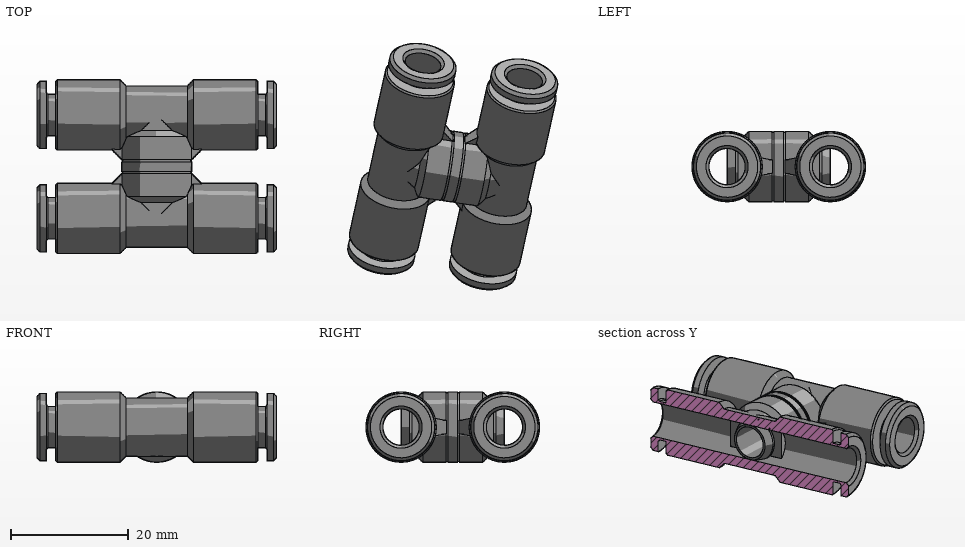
import cadquery as cq

overall_length = 40.8
overall_width = 29.6
body_diameter = 12.0
half_length = overall_length / 2
body_radius = body_diameter / 2
axis_offset = (overall_width - body_diameter) / 2

collar_radius = 11.5 / 2
collar_back = 18.75
collar_chamfer = 0.55
neck_radius = 7.1 / 2
neck_flare_radius = 7.6 / 2
neck_flare_length = 0.25

body_end = 17.2
body_chamfer = 0.3
shoulder_start = 6.25
waist_half_length = 5.22
waist_radius = body_radius - (shoulder_start - waist_half_length)

bore_radius = 6.15 / 2
bore_mouth_radius = 3.6
bore_mouth_depth = bore_mouth_radius - bore_radius

ring_half_width = 0.8
groove_outer = 1.2
groove_radius = 5.88
hub_end = 5.1
hub_chamfer = body_radius - waist_radius

pin_radius = 7.6 / 2
pin_tip_radius = 3.15
pin_taper_length = 1.43
seat_depth = 1.88
passage_diameter = 5.5

gusset_angle = 22.0
gusset_start = groove_outer - (body_radius - groove_radius)


def revolve_half_profile_about_x(points):
    """Revolve a profile of (x, radius) points, given for x >= 0, and mirror it to x < 0."""
    half = cq.Workplane("XY").polyline(points).close().revolve(360, (0, 0, 0), (1, 0, 0))
    return half.union(half.mirror("YZ"))


def tube_blank():
    return revolve_half_profile_about_x([
        (0, 0),
        (0, waist_radius),
        (waist_half_length, waist_radius),
        (shoulder_start, body_radius),
        (body_end - body_chamfer, body_radius),
        (body_end, body_radius - body_chamfer),
        (body_end, neck_radius),
        (collar_back - neck_flare_length, neck_radius),
        (collar_back, neck_flare_radius),
        (collar_back, collar_radius),
        (half_length - collar_chamfer, collar_radius),
        (half_length, collar_radius - collar_chamfer),
        (half_length, 0),
    ])


def bore_cutter():
    return revolve_half_profile_about_x([
        (0, 0),
        (0, bore_radius),
        (half_length - bore_mouth_depth, bore_radius),
        (half_length, bore_mouth_radius),
        (half_length, 0),
    ])


def hub_half():
    """Hub on the +Y side, from the groove beside the middle ring to the tube axis."""
    profile = [
        (0, ring_half_width),
        (groove_radius, ring_half_width),
        (groove_radius, groove_outer),
        (body_radius, groove_outer),
        (body_radius, hub_end),
        (waist_radius, hub_end + hub_chamfer),
        (waist_radius, axis_offset),
        (0, axis_offset),
    ]
    return cq.Workplane("XY").polyline(profile).close().revolve(360, (0, 0, 0), (0, 1, 0))


def gussets():
    """Pair of ribs on the +Y side, on both sides of the hub."""
    rise = axis_offset - gusset_start
    profile = [
        (0, gusset_start),
        (groove_radius, gusset_start),
        (groove_radius + rise, axis_offset),
        (0, axis_offset),
    ]
    sector = cq.Workplane("XY").polyline(profile).close().revolve(gusset_angle, (0, 0, 0), (0, 1, 0))
    rib = sector.rotate((0, 0, 0), (0, 1, 0), -gusset_angle / 2)
    return rib.union(rib.mirror("YZ"))


def pin_and_seat():
    """Tapered pin end and the flat seat it stands on, both kept inside the bore."""
    taper_start = axis_offset - pin_taper_length
    seat_y = axis_offset - seat_depth
    seat_bottom = axis_offset - body_radius
    profile = [
        (0, seat_bottom),
        (pin_radius, seat_bottom),
        (pin_radius, taper_start),
        (pin_tip_radius, axis_offset),
        (0, axis_offset),
    ]
    pin = cq.Workplane("XY").polyline(profile).close().revolve(360, (0, 0, 0), (0, 1, 0))
    seat = cq.Workplane("XY").box(
        2 * waist_half_length, seat_y - seat_bottom, body_diameter, centered=(True, False, True)
    ).translate((0, seat_bottom, 0))
    return pin.union(seat)


def cylinder_along_y(radius, half_span):
    return cq.Workplane("XZ", origin=(0, half_span, 0)).circle(radius).extrude(2 * half_span)


def middle_ring():
    return cylinder_along_y(body_radius, ring_half_width)


def cross_passage():
    """Flow passage along the hub, opening into both bores at the tube axes."""
    return cylinder_along_y(passage_diameter / 2, axis_offset)


def connector_half():
    """The +Y tube with its half of the hub."""
    to_tube_axis = (0, axis_offset, 0)
    bore = bore_cutter().translate(to_tube_axis).cut(pin_and_seat())
    tube = tube_blank().translate(to_tube_axis)
    return tube.union(hub_half()).union(gussets()).cut(bore)


upper_half = connector_half()
lower_half = upper_half.mirror("XZ")
result = upper_half.union(middle_ring()).union(lower_half).cut(cross_passage())